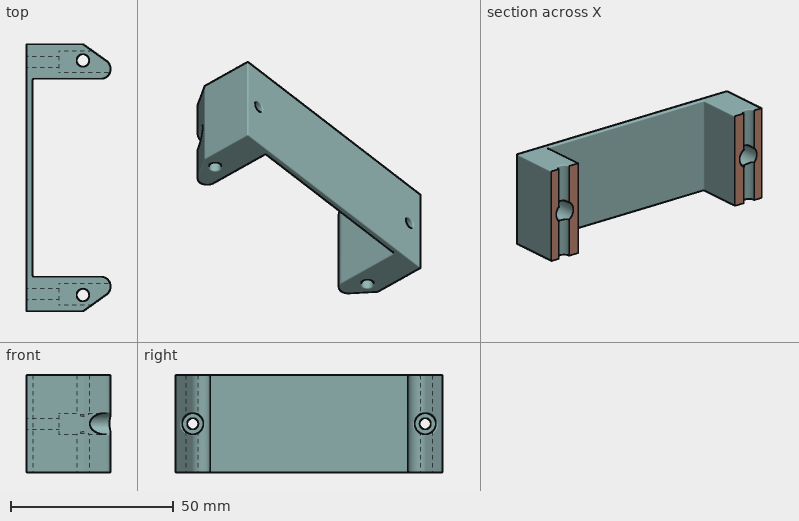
import cadquery as cq
import math

depth = 25.9
length = 82.0
height = 30.0
wall = 2.0
arm_width = 10.7
edge_round = 0.4

flank_start = 17.5
nose_radius = 3.0

pin_hole_inset = 5.0
pin_hole_x = 17.4
pin_hole_diameter = 3.8
screw_hole_diameter = 3.4
screw_hole_inset = 5.3
counterbore_diameter = 6.5
counterbore_floor_x = 10.0

half_length = length / 2
pin_hole_y = half_length - pin_hole_inset
screw_hole_y = half_length - screw_hole_inset
inner_y = half_length - arm_width


def nose_points():
    """Outer tangent point, apex and inner tangent point of the +Y arm nose."""
    center_x = depth - nose_radius
    center_y = inner_y + nose_radius
    dx = center_x - flank_start
    dy = half_length - center_y
    normal_angle = math.atan2(dy, -dx) - math.acos(nose_radius / math.hypot(dx, dy))
    outer = (
        center_x + nose_radius * math.cos(normal_angle),
        center_y + nose_radius * math.sin(normal_angle),
    )
    return outer, (depth, center_y), (center_x, inner_y)


def mirrored(point):
    return (point[0], -point[1])


def round_upright_edge(body, x, y):
    corner = cq.selectors.NearestToPointSelector((x, y, 0))
    return body.edges("|Z").edges(corner).fillet(edge_round)


def make_body():
    outer, apex, inner = nose_points()
    body = (
        cq.Workplane("XY")
        .moveTo(0, -half_length)
        .lineTo(0, half_length)
        .lineTo(flank_start, half_length)
        .lineTo(*outer)
        .threePointArc(apex, inner)
        .lineTo(wall, inner_y)
        .lineTo(wall, -inner_y)
        .lineTo(*mirrored(inner))
        .threePointArc(mirrored(apex), mirrored(outer))
        .lineTo(flank_start, -half_length)
        .close()
        .extrude(height / 2, both=True)
    )
    for y in (-half_length, half_length):
        for x in (0, flank_start):
            body = round_upright_edge(body, x, y)
    for y in (-inner_y, inner_y):
        body = round_upright_edge(body, wall, y)
    return body.faces("|Z").edges().fillet(edge_round)


def cut_pin_hole(body, y):
    """Vertical hole through the arm, with both mouths rounded."""
    hole = (
        cq.Workplane("XY", origin=(pin_hole_x, y, -height / 2))
        .circle(pin_hole_diameter / 2)
        .extrude(height)
    )
    body = body.cut(hole)
    for mouth_z in (-height / 2, height / 2):
        mouth = cq.selectors.NearestToPointSelector((pin_hole_x, y, mouth_z))
        body = body.edges("%CIRCLE").edges(mouth).fillet(edge_round)
    return body


def cut_counterbore(body, y):
    """Blind bore from the arm tip, its edge rounded where it leaves the tip."""
    bore = (
        cq.Workplane("YZ", origin=(counterbore_floor_x, y, 0))
        .circle(counterbore_diameter / 2)
        .extrude(depth - counterbore_floor_x)
    )
    body = body.cut(bore)
    radius = counterbore_diameter / 2
    mouth = cq.selectors.BoxSelector(
        (flank_start, y - radius - edge_round, -radius - edge_round),
        (depth + edge_round, y + radius + edge_round, radius + edge_round),
        boundingbox=True,
    )
    return body.edges(mouth).edges("not |X").fillet(edge_round)


def cut_screw_hole(body, y):
    """Hole along X from the back face into the counterbore."""
    hole = (
        cq.Workplane("YZ", origin=(0, y, 0))
        .circle(screw_hole_diameter / 2)
        .extrude(depth)
    )
    mouth = cq.selectors.NearestToPointSelector((0, y, 0))
    return body.cut(hole).edges("%CIRCLE").edges(mouth).fillet(edge_round)


result = make_body()
for side in (-1, 1):
    result = cut_counterbore(result, side * screw_hole_y)
    result = cut_screw_hole(result, side * screw_hole_y)
    result = cut_pin_hole(result, side * pin_hole_y)